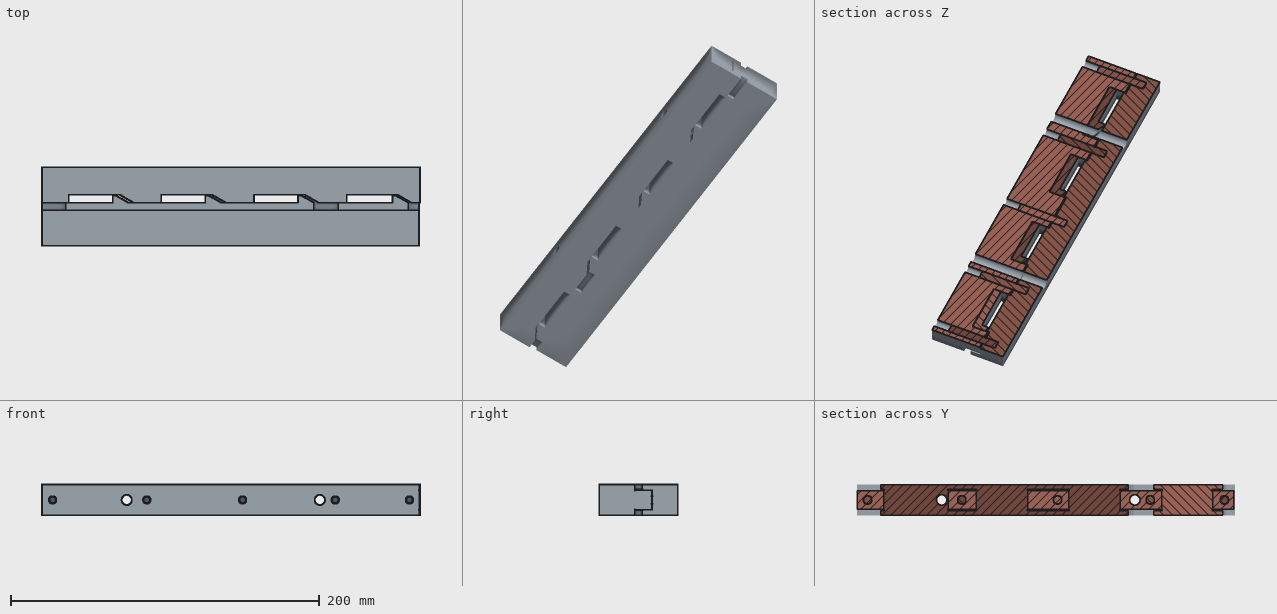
import cadquery as cq
import math

length = 245.0
height = 20.0
bar_depth = 23.0
plate_depth = 5.0
front_length = 244.3
rear_y = bar_depth + plate_depth
total_depth = rear_y + bar_depth

ramp_angle = 30.0
tooth_pitch = 60.0
tooth_length = 10.2
tooth_height = 4.5
long_plate_start = 15.5
long_plate_teeth = 3
long_plate_length = 160.5
short_plate_start = 192.0
short_plate_teeth = 1
short_plate_length = 45.2

slot_count = 4
slot_start = 17.5
slot_length = 41.6
slot_depth = 5.0

tongue_height = 12.5
tongue_tip_y = rear_y + 6.0
pocket_end_y = tongue_tip_y + 0.5
window_height = tongue_height + 1.0
slot_ends = [slot_start + slot_length + i * tooth_pitch for i in range(slot_count)]
slot_ramp_run = slot_depth / math.tan(math.radians(ramp_angle))
tongue_starts = [0.0, slot_ends[0]] + [slot_end - slot_ramp_run for slot_end in slot_ends[1:]]
tongue_ends = [slot_start + i * tooth_pitch for i in range(slot_count)] + [front_length]

dowel_diameter = 6.5
dowel_positions = [55.0, 180.0]
pin_diameter = 5.0
pin_positions = [7.0, 68.0, 130.0, 190.0, 238.0]
pin_recess = 10.0
pin_chamfer = 0.5
pin_end_y = rear_y + 15.0


def block(x_start, x_end, y_start, y_end, block_height):
    """Box between the given X and Y limits, centred on the middle height."""
    return cq.Workplane("XY").box(
        x_end - x_start, y_end - y_start, block_height, centered=(False, False, True)
    ).translate((x_start, y_start, height / 2))


def rods(diameter, positions, y_start, y_end):
    """Round rods along Y at the given X positions."""
    return (
        cq.Workplane("XZ", origin=(0, y_start, height / 2))
        .pushPoints([(x, 0) for x in positions])
        .circle(diameter / 2)
        .extrude(y_start - y_end)
    )


def ramp_prism(x_start, base_length, depth):
    """Full-height prism on the plate edge: square left end, flat top, ramp down on the right."""
    flat_length = base_length - depth / math.tan(math.radians(ramp_angle))
    return (
        cq.Workplane("XY")
        .moveTo(x_start, rear_y)
        .lineTo(x_start, rear_y + depth)
        .lineTo(x_start + flat_length, rear_y + depth)
        .lineTo(x_start + base_length, rear_y)
        .close()
        .extrude(height)
    )


def tongue_blocks(y_start, y_end, block_height):
    """One block on each land between the slots, as a list of boxes."""
    return [
        block(x_start, x_end, y_start, y_end, block_height)
        for x_start, x_end in zip(tongue_starts, tongue_ends)
    ]


def drill(body):
    """Cut the dowel and pin holes out of a body."""
    dowel_holes = rods(dowel_diameter, dowel_positions, 0, total_depth)
    pin_holes = rods(pin_diameter, pin_positions, 0, pin_end_y)
    return body.cut(dowel_holes).cut(pin_holes)


def make_front_bar():
    bar = block(0, front_length, 0, bar_depth, height)
    for tongue in tongue_blocks(bar_depth, tongue_tip_y, tongue_height):
        bar = bar.union(tongue)
    return drill(bar)


def make_rear_bar():
    bar = block(0, length, rear_y, total_depth, height)
    for pocket in tongue_blocks(rear_y, pocket_end_y, tongue_height):
        bar = bar.cut(pocket)
    bar = bar.cut(block(front_length, length, rear_y, pocket_end_y, tongue_height))
    for i in range(slot_count):
        bar = bar.cut(ramp_prism(slot_start + i * tooth_pitch, slot_length, slot_depth))
    return drill(bar)


def make_plate(x_start, plate_length, tooth_count):
    x_end = x_start + plate_length
    plate = block(x_start, x_end, bar_depth, rear_y, height)
    for i in range(tooth_count):
        tooth_start = x_end - tooth_length - i * tooth_pitch
        plate = plate.union(ramp_prism(tooth_start, tooth_length, tooth_height))
    for window in tongue_blocks(bar_depth, tongue_tip_y, window_height):
        plate = plate.cut(window)
    return drill(plate)


front_bar = make_front_bar()
rear_bar = make_rear_bar()
long_plate = make_plate(long_plate_start, long_plate_length, long_plate_teeth)
short_plate = make_plate(short_plate_start, short_plate_length, short_plate_teeth)
pins = rods(pin_diameter, pin_positions, pin_recess, pin_end_y).faces("<Y").chamfer(pin_chamfer)

result = cq.Compound.makeCompound(
    [front_bar.val(), rear_bar.val(), long_plate.val(), short_plate.val(), *pins.solids().vals()]
)